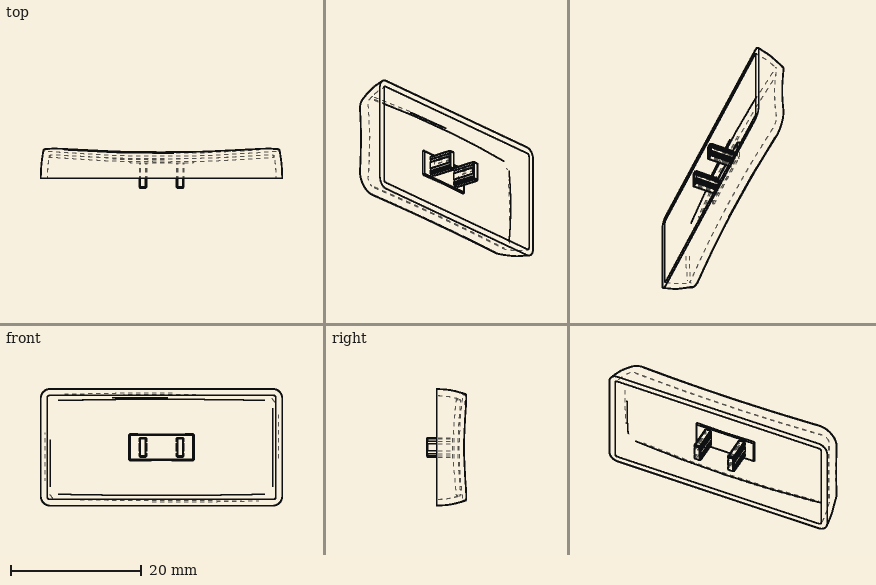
import cadquery as cq

RIM_LENGTH = 36.95
RIM_HEIGHT = 17.9
BLOCK_DEPTH = 4.95
SIDE_INSET_X = 0.55
SIDE_INSET_Z = 1.0
RIM_CORNER = 1.48
FACE_CORNER = 3.47
FACE_ROUND = 0.22

DISH_SAG_X = 0.85
DISH_SAG_Z = 0.7
DISH_BOTTOM = BLOCK_DEPTH - DISH_SAG_X - DISH_SAG_Z

RIM_WALL = 1.0
ROOF = 0.9
CAVITY_INSET_X = 0.37
CAVITY_INSET_Z = 0.75
CAVITY_RIM_CORNER = 0.37
CAVITY_CEILING_CORNER = 1.7
CEILING_ROUND = 0.22

PAD_LENGTH = 9.98
PAD_HEIGHT = 4.15
PAD_FRONT = 2.4
PAD_BACK = DISH_BOTTOM - ROOF / 4
PAD_CHAMFER = 0.22

LEG_SPACING = 5.7
LEG_WIDTH = 1.1
LEG_HEIGHT = 3.0
LEG_PROTRUSION = 1.5
LEG_CHAMFER = 0.2
LEG_BACK = PAD_FRONT + 2 * LEG_CHAMFER
GROOVE_WIDTH = 0.45
GROOVE_OFFSET = 0.75
GROOVE_DEPTH = 0.1


def curved_block(length, height, depth, inset_x, inset_z, rim_corner, end_corner):
    """Rounded block whose walls start square to the rim and curve inwards."""
    sections = []
    for share in (0.0, 0.5, 1.0):
        lean = share**2
        outline = (
            cq.Sketch()
            .rect(length - 2 * inset_x * lean, height - 2 * inset_z * lean)
            .vertices()
            .fillet(rim_corner + share * (end_corner - rim_corner))
        )
        sections.append(outline.moved(cq.Location(cq.Vector(0, 0, -share * depth))))
    return cq.Workplane("XZ").placeSketch(*sections).loft()


def dish_tool(offset):
    """Scoop with an arc in X and an arc in Z, moved towards the rim by the offset."""
    radius_x = RIM_LENGTH**2 / (8 * DISH_SAG_X) + DISH_SAG_X / 2
    bottom = DISH_BOTTOM - offset
    edge = bottom + DISH_SAG_Z
    axis_y = bottom + radius_x
    half = RIM_HEIGHT / 2
    profile = (
        cq.Workplane("YZ")
        .moveTo(edge, -half)
        .threePointArc((bottom, 0), (edge, half))
        .lineTo(axis_y, half)
        .lineTo(axis_y, -half)
        .close()
    )
    tool = profile.revolve(360, (axis_y, 0, 0), (axis_y, 1, 0))
    return tool.rotate((0, axis_y, 0), (0, axis_y, 1), 180)


def scooped(block, offset, radius):
    """Scoop the dish out of a block and round the edge around it."""
    far = RIM_LENGTH
    around_face = cq.selectors.BoxSelector((-far, BLOCK_DEPTH / 2, -far), (far, BLOCK_DEPTH, far))
    return block.cut(dish_tool(offset)).edges(around_face).fillet(radius)


def chamfered_bar(length, height, front, back, chamfer):
    """Box from front to back along Y with every edge chamfered."""
    bar = cq.Workplane("XY").box(length, back - front, height).edges().chamfer(chamfer)
    return bar.translate((0, (front + back) / 2, 0))


def grooved_leg():
    """Mounting leg centred on X = 0."""
    leg = chamfered_bar(LEG_WIDTH, LEG_HEIGHT, -LEG_PROTRUSION, LEG_BACK, LEG_CHAMFER)
    flank_points = [
        (flank * LEG_WIDTH / 2, level * GROOVE_OFFSET) for flank in (-1, 1) for level in (-1, 1)
    ]
    grooves = (
        cq.Workplane("XZ", origin=(0, LEG_BACK, 0))
        .pushPoints(flank_points)
        .rect(2 * GROOVE_DEPTH, GROOVE_WIDTH)
        .extrude(LEG_BACK + LEG_PROTRUSION)
    )
    return leg.cut(grooves)


outer = curved_block(
    RIM_LENGTH, RIM_HEIGHT, BLOCK_DEPTH, SIDE_INSET_X, SIDE_INSET_Z, RIM_CORNER, FACE_CORNER
)
outer = scooped(outer, 0, FACE_ROUND)

cavity = curved_block(
    RIM_LENGTH - 2 * RIM_WALL,
    RIM_HEIGHT - 2 * RIM_WALL,
    BLOCK_DEPTH - ROOF,
    CAVITY_INSET_X,
    CAVITY_INSET_Z,
    CAVITY_RIM_CORNER,
    CAVITY_CEILING_CORNER,
)
cavity = scooped(cavity, ROOF, CEILING_ROUND)

pad = chamfered_bar(PAD_LENGTH, PAD_HEIGHT, PAD_FRONT, PAD_BACK, PAD_CHAMFER)

result = outer.cut(cavity).union(pad)
for side in (-1, 1):
    result = result.union(grooved_leg().translate((side * LEG_SPACING / 2, 0, 0)))